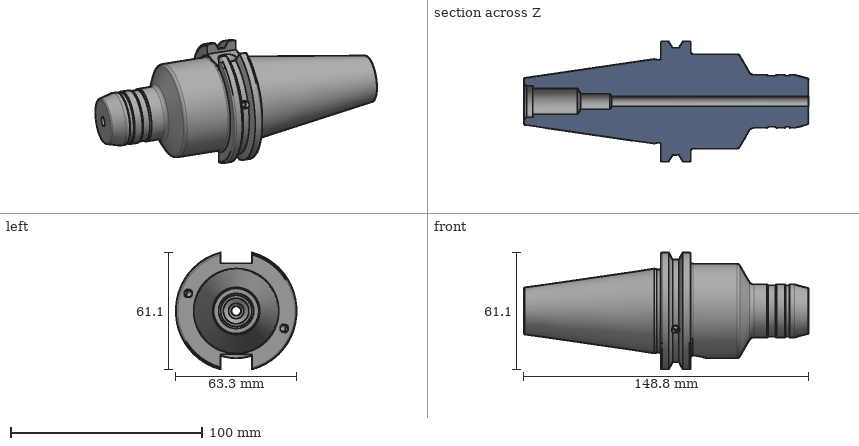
import cadquery as cq
import math

match_tolerance = 0.01

drill_point_angle = 118.0

overall_length = 148.75
taper_length = 68.25
small_end_x = -taper_length
nose_end_x = overall_length - taper_length
flange_front_x = 3.18
flange_rear_x = 19.05
groove_center_x = 11.1

gauge_diameter = 44.45
taper_ratio = 7 / 24
small_end_diameter = gauge_diameter - taper_ratio * taper_length
small_end_chamfer = 0.5
neck_diameter = 43.6
neck_start_x = 1.2
neck_fillet = 0.6

flange_diameter = 63.26
flange_edge_fillet = 1.0
groove_floor_diameter = 56.3
groove_rim_width = 7.3
groove_wall_angle = 60.0

slot_width = 16.4
upper_slot_floor_z = 25.0
lower_slot_floor_z = -22.6
dimple_diameter = 9.53

body_diameter = 49.5
body_root_fillet = 1.0
cone_start_x = 44.1
cone_angle = 60.0
cone_outer_fillet = 2.0
cone_inner_fillet = 2.5
nose_diameter = 28.0
nose_groove_diameter = 27.0
wide_groove_start_x = 58.6
wide_groove_width = 5.3
wide_groove_wall_angle = 30.0
narrow_groove_start_x = 68.0
narrow_groove_width = 2.8
narrow_groove_wall_angle = 45.0
nose_taper_length = 7.5
nose_taper_angle = 15.0
nose_edge_fillet = 0.8

bore_mouth_diameter = 18.4
bore_mouth_depth = 1.4
pilot_diameter = 16.3
pilot_depth = 4.7
thread_diameter = 13.39
thread_depth = 28.0
inner_bore_diameter = 8.0
inner_bore_depth = 45.0
through_diameter = 4.92

coolant_circle_diameter = 53.4
coolant_angle = 20.0
coolant_axial_diameter = 4.2
coolant_axial_depth = groove_center_x - flange_front_x
coolant_mouth_diameter = 4.0
coolant_mouth_end_radius = 27.4
coolant_radial_diameter = 3.24
coolant_radial_end_radius = 24.0


def revolve_profile(points):
    """Solid of revolution about X from a closed (x, radius) outline."""
    return cq.Workplane("XY").polyline(points).close().revolve(360, (0, 0, 0), (1, 0, 0))


def point_height(radius_drop):
    """Axial length over which a drill point narrows by radius_drop."""
    return radius_drop / math.tan(math.radians(drill_point_angle / 2))


def groove_ring(start_x, width, outer_diameter, floor_diameter, wall_angle):
    """Ring to cut a groove whose walls rise from the floor at wall_angle to the axis."""
    floor_radius = floor_diameter / 2
    depth = outer_diameter / 2 - floor_radius
    wall_run = depth / math.tan(math.radians(wall_angle))
    end_x = start_x + width
    return revolve_profile([
        (start_x, floor_radius + depth),
        (start_x + wall_run, floor_radius),
        (end_x - wall_run, floor_radius),
        (end_x, floor_radius + depth),
    ])


def fillet_circle(part, x, diameter, radius):
    """Round the circular edge at station x with the given diameter."""
    reach = diameter / 2 + match_tolerance
    box = cq.selectors.BoxSelector(
        (x - match_tolerance, -reach, -reach), (x + match_tolerance, reach, reach), boundingbox=True
    )
    smallest_reach = diameter / 2 - match_tolerance
    edges = [edge for edge in part.edges(box).vals() if edge.BoundingBox().ymax > smallest_reach]
    return part.newObject(edges).fillet(radius)


def make_blank():
    """Turned outer shape: taper, neck, flange, body, cone and nose."""
    cone_end_x = cone_start_x + (body_diameter - nose_diameter) / 2 / math.tan(math.radians(cone_angle))
    nose_taper_drop = nose_taper_length * math.tan(math.radians(nose_taper_angle))
    nose_end_diameter = nose_diameter - 2 * nose_taper_drop
    blank = revolve_profile([
        (small_end_x, 0),
        (small_end_x, small_end_diameter / 2),
        (0, gauge_diameter / 2),
        (neck_start_x, neck_diameter / 2),
        (flange_front_x, neck_diameter / 2),
        (flange_front_x, flange_diameter / 2),
        (flange_rear_x, flange_diameter / 2),
        (flange_rear_x, body_diameter / 2),
        (cone_start_x, body_diameter / 2),
        (cone_end_x, nose_diameter / 2),
        (nose_end_x - nose_taper_length, nose_diameter / 2),
        (nose_end_x, nose_end_diameter / 2),
        (nose_end_x, 0),
    ])
    blank = blank.faces("<X").edges().chamfer(small_end_chamfer)
    for x, diameter, radius in [
        (flange_front_x, neck_diameter, neck_fillet),
        (flange_front_x, flange_diameter, flange_edge_fillet),
        (flange_rear_x, flange_diameter, flange_edge_fillet),
        (flange_rear_x, body_diameter, body_root_fillet),
        (cone_start_x, body_diameter, cone_outer_fillet),
        (cone_end_x, nose_diameter, cone_inner_fillet),
        (nose_end_x, nose_end_diameter, nose_edge_fillet),
    ]:
        blank = fillet_circle(blank, x, diameter, radius)
    return blank


def cut_turned_grooves(part):
    """Gripper groove in the flange and two shallow grooves on the nose."""
    part = part.cut(groove_ring(
        groove_center_x - groove_rim_width / 2, groove_rim_width,
        flange_diameter, groove_floor_diameter, groove_wall_angle,
    ))
    for start_x, width, wall_angle in [
        (wide_groove_start_x, wide_groove_width, wide_groove_wall_angle),
        (narrow_groove_start_x, narrow_groove_width, narrow_groove_wall_angle),
    ]:
        part = part.cut(groove_ring(start_x, width, nose_diameter, nose_groove_diameter, wall_angle))
    return part


def drive_slot(floor_z):
    """Cutter for a slot through the flange with a round end behind its rear face."""
    height = math.copysign(flange_diameter, floor_z)
    straight_length = flange_rear_x - flange_front_x
    straight = (
        cq.Workplane("XY", origin=((flange_front_x + flange_rear_x) / 2, 0, floor_z))
        .rect(straight_length, slot_width)
        .extrude(height)
    )
    round_end = cq.Workplane("XY", origin=(flange_rear_x, 0, floor_z)).circle(slot_width / 2).extrude(height)
    return straight.union(round_end)


def dimple():
    """Conical drill-point mark in the floor of the upper slot."""
    radius = dimple_diameter / 2
    depth = point_height(radius)
    cone = cq.Solid.makeCone(
        radius, 0, depth, cq.Vector(groove_center_x, 0, upper_slot_floor_z), cq.Vector(0, 0, -1)
    )
    return cq.Workplane(obj=cone)


def central_bore():
    """Stepped bore entered from the small end, with a through hole along the axis."""
    thread_point = point_height((thread_diameter - inner_bore_diameter) / 2)
    inner_point = point_height((inner_bore_diameter - through_diameter) / 2)
    return revolve_profile([
        (small_end_x, 0),
        (small_end_x, bore_mouth_diameter / 2),
        (small_end_x + bore_mouth_depth, pilot_diameter / 2),
        (small_end_x + pilot_depth, pilot_diameter / 2),
        (small_end_x + pilot_depth, thread_diameter / 2),
        (small_end_x + thread_depth, thread_diameter / 2),
        (small_end_x + thread_depth + thread_point, inner_bore_diameter / 2),
        (small_end_x + inner_bore_depth, inner_bore_diameter / 2),
        (small_end_x + inner_bore_depth + inner_point, through_diameter / 2),
        (nose_end_x, through_diameter / 2),
        (nose_end_x, 0),
    ])


def coolant_hole(angle):
    """Axial hole from the flange face meeting a stepped radial hole from the gripper groove."""
    outward = cq.Vector(0, math.cos(math.radians(angle)), math.sin(math.radians(angle)))
    axial_start = outward * (coolant_circle_diameter / 2) + cq.Vector(flange_front_x, 0, 0)
    hole = cq.Workplane(obj=cq.Solid.makeCylinder(
        coolant_axial_diameter / 2, coolant_axial_depth, axial_start, cq.Vector(1, 0, 0)
    ))
    for diameter, end_radius in [
        (coolant_mouth_diameter, coolant_mouth_end_radius),
        (coolant_radial_diameter, coolant_radial_end_radius),
    ]:
        radial_end = outward * end_radius + cq.Vector(groove_center_x, 0, 0)
        length = flange_diameter / 2 - end_radius
        hole = hole.union(cq.Workplane(obj=cq.Solid.makeCylinder(diameter / 2, length, radial_end, outward)))
    drill_radius = coolant_radial_diameter / 2
    drill_point = cq.Solid.makeCone(
        drill_radius, 0, point_height(drill_radius),
        outward * coolant_radial_end_radius + cq.Vector(groove_center_x, 0, 0), outward * -1,
    )
    return hole.union(cq.Workplane(obj=drill_point))


result = cut_turned_grooves(make_blank())
for slot_floor_z in (upper_slot_floor_z, lower_slot_floor_z):
    result = result.cut(drive_slot(slot_floor_z))
result = result.cut(dimple())
result = result.cut(central_bore())
for hole_angle in (coolant_angle, coolant_angle + 180):
    result = result.cut(coolant_hole(hole_angle))